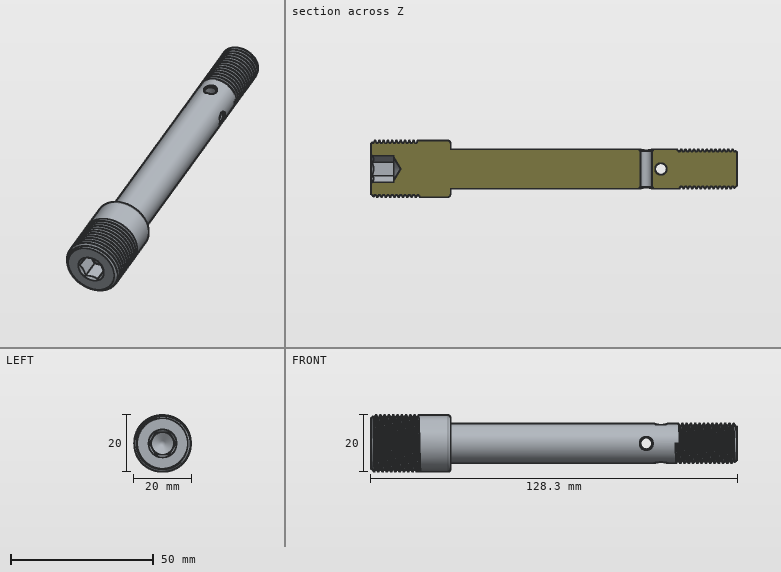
import cadquery as cq
import math

total_length = 128.3
head_diameter = 20.0
head_length = 28.0
head_edge_radius = 1.2
shank_diameter = 14.0
shank_root = 25.7
end_chamfer = 1.2

ten_turns_length = 15.0
thread_pitch = ten_turns_length / 10
thread_depth = 0.61 * thread_pitch
groove_width = 7 / 8 * thread_pitch
flank_angle = 60
cut_clearance = 0.06

head_thread_end = 16.8
head_thread_turns = math.ceil(head_thread_end / thread_pitch) + 1
head_thread_start = head_thread_end - head_thread_turns * thread_pitch
head_thread_angle = 0
shank_thread_start = 107.2
shank_thread_turns = math.ceil((total_length - shank_thread_start) / thread_pitch) + 1
shank_thread_angle = -90

socket_across_flats = 8.0
socket_depth = 8.0
socket_mouth_diameter = 9.9
drill_point_angle = 118

cross_hole_diameter = 4.0
countersink_diameter = 4.7
y_hole_position = 96.5
z_hole_position = 101.6


def make_head():
    """Plain head, chamfered at its free end and rounded towards the shank."""
    return (
        cq.Workplane("YZ").circle(head_diameter / 2).extrude(head_length)
        .faces("<X").chamfer(end_chamfer)
        .faces(">X").edges().fillet(head_edge_radius)
    )


def make_shank():
    """Plain shank, chamfered at its free end."""
    return (
        cq.Workplane("YZ", origin=(shank_root, 0, 0))
        .circle(shank_diameter / 2).extrude(total_length - shank_root)
        .faces(">X").chamfer(end_chamfer)
    )


def make_groove_turn(diameter, start_angle):
    """One turn of the thread groove about X, from X = 0; start_angle is measured from -Z."""
    flank_slope = math.tan(math.radians(flank_angle / 2))
    root_radius = diameter / 2 - thread_depth
    mouth_radius = diameter / 2 + cut_clearance
    root_half = groove_width / 2 - thread_depth * flank_slope
    mouth_half = groove_width / 2 + cut_clearance * flank_slope
    corners = [
        (root_radius, -root_half),
        (root_radius, root_half),
        (mouth_radius, mouth_half),
        (mouth_radius, -mouth_half),
    ]

    helices = [
        cq.Wire.makeHelix(thread_pitch, thread_pitch, radius, cq.Vector(0, 0, offset))
        for radius, offset in corners
    ]
    faces = [
        cq.Face.makeRuledSurface(helices[i - 1], helices[i])
        for i in range(len(helices))
    ]
    for end in (0, 1):
        points = [helix.positionAt(end) for helix in helices]
        faces.append(cq.Face.makeFromWires(cq.Wire.makePolygon(points, close=True)))
    turn = cq.Solid.makeSolid(cq.Shell.makeShell(faces))
    return (
        cq.Workplane(obj=turn)
        .rotate((0, 0, 0), (0, 1, 0), 90)
        .rotate((0, 0, 0), (1, 0, 0), start_angle)
    )


def cut_thread(body, diameter, start, turns, start_angle):
    """Cut a thread of whole turns, one turn at a time, from X = start."""
    groove_turn = make_groove_turn(diameter, start_angle)
    for turn in range(turns):
        position = start + turn * thread_pitch
        body = body.cut(groove_turn.translate((position, 0, 0)), clean=False)
    return body


def make_socket():
    """Hexagon with two flats level, a 45 degree countersunk mouth and a drill point."""
    across_corners = socket_across_flats / math.cos(math.radians(30))
    hexagon = cq.Workplane("YZ").polygon(6, across_corners).extrude(socket_depth)

    mouth_radius = socket_mouth_diameter / 2
    countersink = (
        cq.Workplane("XY")
        .polyline([(0, 0), (0, mouth_radius), (mouth_radius, 0)])
        .close()
        .revolve(360, (0, 0, 0), (1, 0, 0))
    )

    point_radius = socket_across_flats / 2
    point_length = point_radius / math.tan(math.radians(drill_point_angle / 2))
    drill_point = (
        cq.Workplane("XY")
        .polyline([
            (socket_depth, 0),
            (socket_depth, point_radius),
            (socket_depth + point_length, 0),
        ])
        .close()
        .revolve(360, (0, 0, 0), (1, 0, 0))
    )
    return hexagon.union(countersink).union(drill_point)


def make_cross_hole(position):
    """Through hole along Z at X = position, with its countersinks sunk just below the surface."""
    shank_radius = shank_diameter / 2
    hole_radius = cross_hole_diameter / 2
    sink_radius = countersink_diameter / 2
    rim_height = math.sqrt(shank_radius**2 - sink_radius**2)
    cone_height = rim_height - (sink_radius - hole_radius)
    return (
        cq.Workplane("XZ")
        .polyline([
            (0, -shank_radius),
            (sink_radius, -shank_radius),
            (sink_radius, -rim_height),
            (hole_radius, -cone_height),
            (hole_radius, cone_height),
            (sink_radius, rim_height),
            (sink_radius, shank_radius),
            (0, shank_radius),
        ])
        .close()
        .revolve(360, (0, 0, 0), (0, 1, 0))
        .translate((position, 0, 0))
    )


z_hole = make_cross_hole(z_hole_position)
y_hole = make_cross_hole(y_hole_position).rotate((0, 0, 0), (1, 0, 0), 90)

head = cut_thread(
    make_head().cut(make_socket()),
    head_diameter, head_thread_start, head_thread_turns, head_thread_angle,
)
shank = cut_thread(
    make_shank().cut(z_hole).cut(y_hole),
    shank_diameter, shank_thread_start, shank_thread_turns, shank_thread_angle,
)
result = head.union(shank, clean=False).solids()